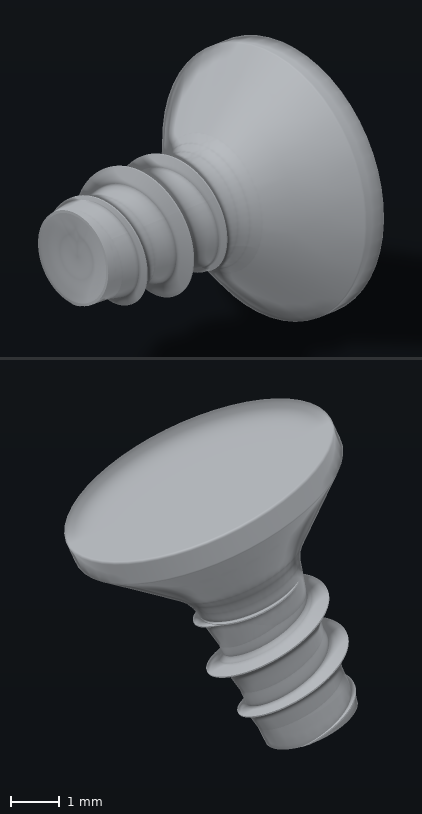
import math

import cadquery as cq

length = 6.0
head_radius = 3.0
head_rim_depth = 0.55
rim_round_length = 0.025
head_top_round = 0.06
cone_angle = 45
cone_end_radius = 1.5
cone_end_depth = head_rim_depth + (head_radius - cone_end_radius) / math.tan(math.radians(cone_angle))
neck_radius = 1.17
neck_depth = 2.745
core_radius = 1.05
core_start_depth = 3.25
tip_radius = 1.03
tip_taper_depth = 5.4

tip_dish_radius = 0.97
tip_dish_depth = 0.12

pitch = 1.115
first_crest_depth = 2.635
crest_radius = 1.5
lead_in_radius = 1.18
lead_in_start_depth = 2.39
lead_in_length = 1.65
run_out_depth = 4.3
run_out_end_depth = 5.97
thread_start_turn = -0.15
buried_end_turn = 0.1
thread_end_turn = (run_out_end_depth - first_crest_depth) / pitch + buried_end_turn
points_per_half_turn = 12

crest_half_width = 0.015
flare_start_offset = -0.225
flare_start_drop = 0.455
flare_knee_offset = -0.12
flare_knee_drop = 0.33
flank_slope = 2.5
ramp_slope = 0.19
ramp_end_offset = 0.68
ramp_overrun = 0.05
ramp_final_sink = 0.09
root_radius = 0.5

lip_radius = 1.12
lip_reach = 1.29
lip_thickness = 0.03


def make_body():
    """Head, countersink cone, curved neck and plain core, turned about Y."""
    round_inset = rim_round_length * math.sin(math.radians(cone_angle))
    round_drop = rim_round_length * math.cos(math.radians(cone_angle))
    return (
        cq.Workplane("ZY")
        .moveTo(0, 0)
        .lineTo(head_radius - head_top_round, 0)
        .radiusArc((head_radius, -head_top_round), head_top_round)
        .lineTo(head_radius, -head_rim_depth + rim_round_length)
        .tangentArcPoint((head_radius - round_inset, -head_rim_depth - round_drop), relative=False)
        .lineTo(cone_end_radius, -cone_end_depth)
        .tangentArcPoint((neck_radius, -neck_depth), relative=False)
        .lineTo(core_radius, -core_start_depth)
        .lineTo(core_radius, -tip_taper_depth)
        .lineTo(tip_radius, -length)
        .lineTo(0, -length)
        .close()
        .revolve(360, (0, 0, 0), (0, 1, 0))
    )


def run_out_at(depth):
    """Share of the run-out covered: 0 along the full thread, 1 where the crest meets the core."""
    return max(0, (depth - run_out_depth) / (run_out_end_depth - run_out_depth))


def crest_radius_at(depth):
    """Crest radius: sine-shaped rise, constant stretch, linear run-out."""
    rise = min(1, (depth - lead_in_start_depth) / lead_in_length)
    full_radius = lead_in_radius + (crest_radius - lead_in_radius) * math.sin(rise * math.pi / 2)
    return full_radius - (crest_radius - core_radius) * run_out_at(depth)


def section_at(depth):
    """Closed thread section as (axial offset, radius) corners for a given crest depth."""
    crest = crest_radius_at(depth)
    ramp_height = ramp_slope * ramp_end_offset - ramp_final_sink * run_out_at(depth)
    ramp_radius_at_crest = core_radius + ramp_height
    flank_foot_offset = crest_half_width + max(
        crest_half_width,
        (crest - ramp_radius_at_crest + ramp_slope * crest_half_width) / (flank_slope - ramp_slope),
    )
    flank_foot_radius = crest - flank_slope * (flank_foot_offset - crest_half_width)
    ramp_foot_offset = ramp_end_offset + ramp_overrun
    ramp_foot_radius = ramp_radius_at_crest - ramp_slope * ramp_foot_offset
    return [
        (flare_start_offset, root_radius),
        (flare_start_offset, crest - flare_start_drop),
        (flare_knee_offset, crest - flare_knee_drop),
        (-crest_half_width, crest),
        (crest_half_width, crest),
        (flank_foot_offset, flank_foot_radius),
        (ramp_foot_offset, ramp_foot_radius),
        (ramp_foot_offset, root_radius),
    ]


def thread_point(turn, corner):
    """Position of a section corner; turn 0 is on -Z, a quarter turn on is +X."""
    crest_depth = first_crest_depth + pitch * turn
    offset, radius = section_at(crest_depth)[corner]
    angle = 2 * math.pi * turn
    return cq.Vector(radius * math.sin(angle), -crest_depth - offset, -radius * math.cos(angle))


def make_thread():
    """Helical solid skinned half a turn at a time between the paths of the section corners."""
    half_turns = math.ceil(2 * (thread_end_turn - thread_start_turn))
    turn_step = 1 / (2 * points_per_half_turn)
    turns = [thread_start_turn + turn_step * i for i in range(half_turns * points_per_half_turn + 1)]
    corners = range(len(section_at(first_crest_depth)))

    faces = []
    for first in range(0, len(turns) - 1, points_per_half_turn):
        stretch = turns[first : first + points_per_half_turn + 1]
        paths = [cq.Edge.makeSpline([thread_point(turn, c) for turn in stretch]) for c in corners]
        faces += [cq.Face.makeRuledSurface(paths[c - 1], paths[c]) for c in corners]
    for turn in (turns[0], turns[-1]):
        outline = cq.Wire.makePolygon([thread_point(turn, c) for c in corners], close=True)
        faces.append(cq.Face.makeFromWires(outline))
    thread = cq.Solid.makeSolid(cq.Shell.makeShell(faces))

    threaded_zone = (
        cq.Workplane("XZ")
        .workplane(offset=neck_depth)
        .circle(head_radius)
        .extrude(length - neck_depth)
    )
    return threaded_zone.intersect(cq.Workplane(thread))


def make_start_lip():
    """Off-centre disc at the end of the neck; only a crescent of it stands out."""
    return (
        cq.Workplane("XZ")
        .workplane(offset=neck_depth - lip_thickness / 2)
        .center(0, lip_radius - lip_reach)
        .circle(lip_radius)
        .extrude(lip_thickness)
    )


def make_tip_dish():
    """Shallow spherical hollow in the tip face."""
    sphere_radius = (tip_dish_radius**2 + tip_dish_depth**2) / (2 * tip_dish_depth)
    return (
        cq.Workplane("ZY")
        .moveTo(0, -length)
        .lineTo(tip_dish_radius, -length)
        .radiusArc((0, -length + tip_dish_depth), -sphere_radius)
        .close()
        .revolve(360, (0, 0, 0), (0, 1, 0))
    )


screw = make_body().union(make_thread()).union(make_start_lip()).cut(make_tip_dish())
result = cq.Workplane(screw.solids().val())